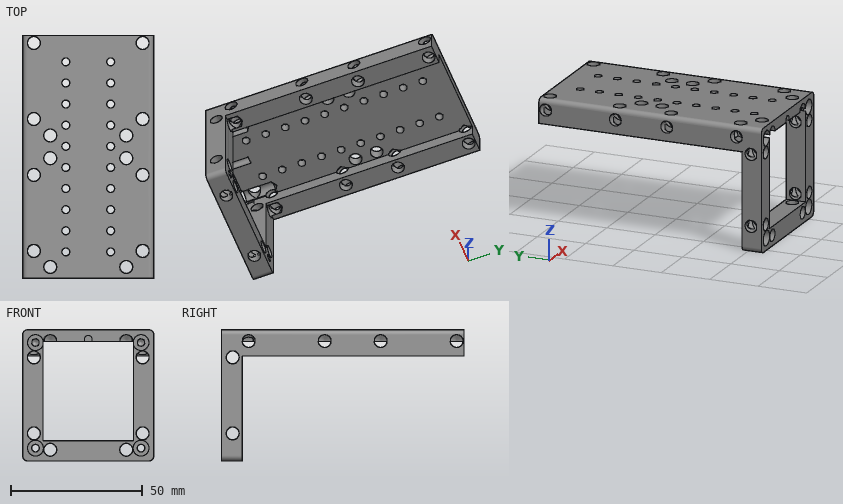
import cadquery as cq
import math

module = 49.8
length = 92.0
half = module / 2
edge_radius = 2.0

wall = 7.8
frame_depth = 8.0
plate_thickness = 4.5
rail_depth = 10.0
opening_width = module - 2 * wall

mount_diameter = 4.8
edge_offset = 4.3
edge_line = half - edge_offset
half_spacing = 14.4
front_hole_depth = 12.0
side_hole_depth = 8.0
drill_tip_angle = 118.0
rail_pattern_start = 24.75
rail_pattern_pitch = 50.0

screw_offset = 20.0
screw_diameter = 2.8
counterbore_diameter = 6.0
counterbore_depth = 3.0
screw_blind_depth = 15.0

grid_diameter = 2.9
grid_rows = 10
grid_pitch = 8.0
grid_first_y = 10.0
grid_half_spacing = 8.5

notch_width = 2.9
notch_height = 2.3
notch_depth = 8.0

INTO_RIGHT = (1, 0, 0)
INTO_LEFT = (-1, 0, 0)
INTO_BACK = (0, 1, 0)
INTO_DOWN = (0, 0, -1)


def box(x_range, y_range, z_range):
    """Box between the given limits."""
    size = [high - low for low, high in (x_range, y_range, z_range)]
    corner = (x_range[0], y_range[0], z_range[0])
    return cq.Workplane("XY").box(*size, centered=False).translate(corner)


def drill(start, direction, diameter, depth):
    """Straight cylinder, for a through hole or a counterbore."""
    tool = cq.Solid.makeCylinder(diameter / 2, depth, cq.Vector(*start), cq.Vector(*direction))
    return cq.Workplane(obj=tool)


def pointed_drill(start, direction, diameter, depth):
    """Cylinder ending in a conical drill tip, for a blind hole."""
    radius = diameter / 2
    tip_length = radius / math.tan(math.radians(drill_tip_angle / 2))
    axis = cq.Vector(*direction)
    tip_start = cq.Vector(*start) + axis * depth
    tip = cq.Workplane(obj=cq.Solid.makeCone(radius, 0, tip_length, tip_start, axis))
    return drill(start, direction, diameter, depth).union(tip)


def make_body():
    """L-shaped body: a plate with two side rails, and a square frame at the front."""
    outline = cq.Workplane("XZ").rect(module, module).extrude(-length)
    outline = outline.edges("|Y").fillet(edge_radius)
    rail_bottom = half - rail_depth
    plate_bottom = half - plate_thickness
    inner = opening_width / 2
    below_rails = box((-half, half), (frame_depth, length), (-half, rail_bottom))
    opening = box((-inner, inner), (0, length), (wall - half, plate_bottom))
    return outline.cut(below_rails).cut(opening)


def cut_front_holes(body):
    """Mounting holes drilled from the front face."""
    for side in (-1, 1):
        for height in (-half_spacing, half_spacing):
            start = (side * edge_line, 0, height)
            body = body.cut(pointed_drill(start, INTO_BACK, mount_diameter, front_hole_depth))
        for height in (-edge_line, edge_line):
            start = (side * half_spacing, 0, height)
            body = body.cut(pointed_drill(start, INTO_BACK, mount_diameter, front_hole_depth))
    return body


def rail_hole_positions():
    """Y positions of the mounting holes along the side rails."""
    centers = (rail_pattern_start, rail_pattern_start + rail_pattern_pitch)
    return [center + shift for center in centers for shift in (-half_spacing, half_spacing)]


def cut_side_holes(body):
    """Mounting holes drilled from both side faces."""
    spots = [(y, edge_line) for y in rail_hole_positions()]
    spots += [(edge_offset, z) for z in (-half_spacing, half_spacing)]
    for y, z in spots:
        for start_x, direction in ((-half, INTO_RIGHT), (half, INTO_LEFT)):
            body = body.cut(pointed_drill((start_x, y, z), direction, mount_diameter, side_hole_depth))
    return body


def cut_top_holes(body):
    """Vertical mounting holes, through the plate, the rails and the lower bar of the frame."""
    spots = [(edge_line, y) for y in rail_hole_positions()]
    module_ends = (edge_offset, module - edge_offset, module + edge_offset)
    spots += [(half_spacing, y) for y in module_ends]
    for x, y in spots:
        for side in (-1, 1):
            body = body.cut(drill((side * x, y, half), INTO_DOWN, mount_diameter, module))
    return body


def cut_corner_screws(body):
    """Counterbored corner screws; the lower pair goes through, the upper pair is blind."""
    for x in (-screw_offset, screw_offset):
        for z in (-screw_offset, screw_offset):
            start = (x, 0, z)
            body = body.cut(drill(start, INTO_BACK, counterbore_diameter, counterbore_depth))
            body = body.cut(pointed_drill(start, INTO_BACK, screw_diameter, screw_blind_depth))
    return body


def cut_plate_grid(body):
    """Two rows of small holes through the plate."""
    for row in range(grid_rows):
        y = grid_first_y + row * grid_pitch
        for x in (-grid_half_spacing, grid_half_spacing):
            body = body.cut(drill((x, y, half), INTO_DOWN, grid_diameter, plate_thickness))
    return body


def cut_notch(body):
    """Round-topped notch under the plate, open to the front."""
    radius = notch_width / 2
    plate_bottom = half - plate_thickness
    arch_center = plate_bottom + notch_height - radius
    body = body.cut(box((-radius, radius), (0, notch_depth), (plate_bottom, arch_center)))
    return body.cut(drill((0, 0, arch_center), INTO_BACK, notch_width, notch_depth))


result = make_body()
result = cut_front_holes(result)
result = cut_side_holes(result)
result = cut_top_holes(result)
result = cut_corner_screws(result)
result = cut_plate_grid(result)
result = cut_notch(result)